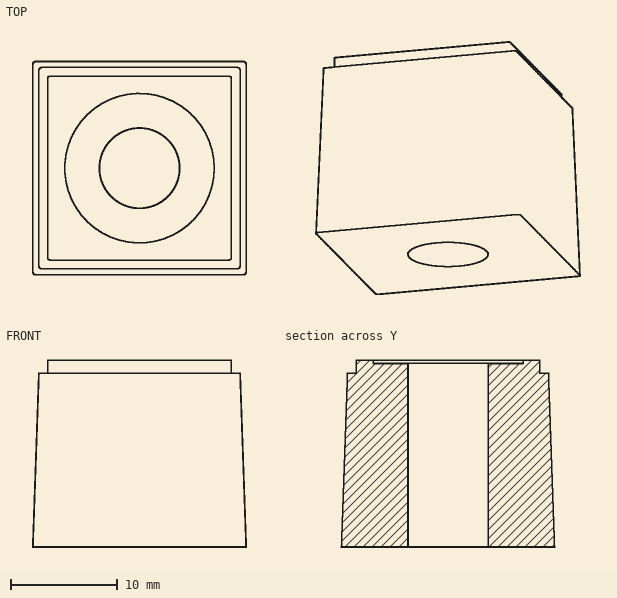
import cadquery as cq

base_width = 20.0
total_height = 17.5

draft_angle = 2.0
body_corner_radius = 0.3

plate_width = 17.2
plate_height = 1.2
plate_corner_radius = 0.2

recess_diameter = 14.0
recess_depth = 0.3
bore_diameter = 7.5

body_height = total_height - plate_height


def make_body():
    """Square block narrowing upward, with its four slanted edges rounded."""
    block = cq.Workplane("XY").rect(base_width, base_width).extrude(body_height, taper=draft_angle)
    slanted_edges = block.edges("not(#Z)")
    return slanted_edges.fillet(body_corner_radius)


def make_plate():
    """Straight-sided square plate standing on the body's top face."""
    plate = cq.Workplane("XY", origin=(0, 0, body_height)).rect(plate_width, plate_width).extrude(plate_height)
    return plate.edges("|Z").fillet(plate_corner_radius)


def make_bore():
    """Cylinder that cuts through the full height."""
    return cq.Workplane("XY").circle(bore_diameter / 2).extrude(total_height)


def make_recess():
    """Shallow disc sunk into the plate's top face around the bore."""
    recess_floor = total_height - recess_depth
    return cq.Workplane("XY", origin=(0, 0, recess_floor)).circle(recess_diameter / 2).extrude(recess_depth)


result = make_body().union(make_plate()).cut(make_bore()).cut(make_recess())